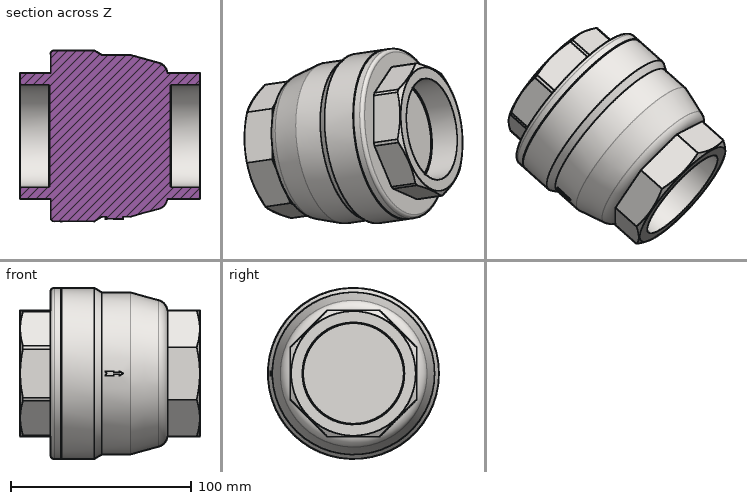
import cadquery as cq
import math

TOTAL_LENGTH = 100.0
COLLAR_START = 17.0
COLLAR_END = 41.3
BARREL_START = 45.5
BARREL_END = 61.3
BODY_END = 82.0

COLLAR_RADIUS = 95.0 / 2
BARREL_RADIUS = 90.0 / 2
COLLAR_FILLET = 2.0
TAPER_ANGLE = math.radians(15.5)
SHOULDER_FILLET = 7.0

SEAM_START = 22.8
SEAM_WIDTH = 0.35
SEAM_DEPTH = 0.15

SIDES = 8
ACROSS_FLATS = 70.0
ACROSS_CORNERS = ACROSS_FLATS / math.cos(math.pi / SIDES)
INLET_TURNED_RADIUS = 75.0 / 2
END_FACE_RADIUS = 34.5
END_CHAMFER_ANGLE = math.radians(30)
INLET_OVERLAP = 5.0

PORT_RADIUS = 56.66 / 2
PORT_DEPTH = 16.0
RECESS_LEDGE = 0.5
RECESS_DEPTH = 0.5
RECESS_RADIUS = PORT_RADIUS - RECESS_LEDGE

ARROW_START = 47.3
ARROW_LENGTH = 10.0
ARROW_NOTCH = 0.8
ARROW_TAIL_LENGTH = 4.7
ARROW_HEAD_LENGTH = 2.1
ARROW_HALF_WIDTH = 1.25
ARROW_SHAFT_HALF_WIDTH = 0.55
ARROW_HEIGHT = 1.0
ARROW_ROOT_DEPTH = 1.0


def revolve_about_x(profile):
    """Revolve a closed XY profile a full turn about the X axis."""
    return profile.close().revolve(360, (0, 0, 0), (1, 0, 0))


def make_body():
    """Collar, barrel and tapered shoulder as one revolved profile."""
    fillet_center_x = BODY_END - SHOULDER_FILLET
    taper_end_x = fillet_center_x + SHOULDER_FILLET * math.sin(TAPER_ANGLE)
    taper_end_radius = BARREL_RADIUS - (taper_end_x - BARREL_END) * math.tan(TAPER_ANGLE)
    fillet_center_radius = taper_end_radius - SHOULDER_FILLET * math.cos(TAPER_ANGLE)
    mid_angle = (math.pi / 2 - TAPER_ANGLE) / 2
    fillet_mid = (
        fillet_center_x + SHOULDER_FILLET * math.cos(mid_angle),
        fillet_center_radius + SHOULDER_FILLET * math.sin(mid_angle),
    )
    collar_sag = COLLAR_FILLET * (1 - math.cos(math.pi / 4))
    collar_mid = (COLLAR_START + collar_sag, COLLAR_RADIUS - collar_sag)
    profile = (
        cq.Workplane("XY")
        .moveTo(COLLAR_START, 0)
        .lineTo(COLLAR_START, COLLAR_RADIUS - COLLAR_FILLET)
        .threePointArc(collar_mid, (COLLAR_START + COLLAR_FILLET, COLLAR_RADIUS))
        .lineTo(COLLAR_END, COLLAR_RADIUS)
        .lineTo(BARREL_START, BARREL_RADIUS)
        .lineTo(BARREL_END, BARREL_RADIUS)
        .lineTo(taper_end_x, taper_end_radius)
        .threePointArc(fillet_mid, (BODY_END, fillet_center_radius))
        .lineTo(BODY_END, 0)
    )
    return revolve_about_x(profile)


def make_seam_ring():
    """Thin ring removed from the collar to leave the seam groove."""
    return (
        cq.Workplane("YZ", origin=(SEAM_START, 0, 0))
        .circle(COLLAR_RADIUS)
        .circle(COLLAR_RADIUS - SEAM_DEPTH)
        .extrude(SEAM_WIDTH)
    )


def make_octagon_end(length, turned_radius):
    """Octagon with flats facing Y and Z, outer face at X = 0, chamfered by turning."""
    octagon = (
        cq.Workplane("YZ")
        .polygon(SIDES, ACROSS_CORNERS)
        .extrude(length)
        .rotate((0, 0, 0), (1, 0, 0), 180 / SIDES)
    )
    chamfer_length = (turned_radius - END_FACE_RADIUS) * math.tan(END_CHAMFER_ANGLE)
    envelope = revolve_about_x(
        cq.Workplane("XY")
        .moveTo(0, 0)
        .lineTo(0, END_FACE_RADIUS)
        .lineTo(chamfer_length, turned_radius)
        .lineTo(length, turned_radius)
        .lineTo(length, 0)
    )
    return octagon.intersect(envelope)


def make_port():
    """Blind port with its floor recess, opening at X = 0."""
    bore = cq.Workplane("YZ").circle(PORT_RADIUS).extrude(PORT_DEPTH)
    recess = cq.Workplane("YZ").circle(RECESS_RADIUS).extrude(PORT_DEPTH + RECESS_DEPTH)
    return bore.union(recess)


def at_outlet(shape):
    """Turn a shape built at the inlet end round to the outlet end."""
    return shape.mirror("YZ").translate((TOTAL_LENGTH, 0, 0))


def make_arrow():
    """Flow arrow pointing to +X, with its top following the barrel."""
    tip_x = ARROW_START + ARROW_LENGTH
    tail_end_x = ARROW_START + ARROW_TAIL_LENGTH
    head_x = tip_x - ARROW_HEAD_LENGTH
    outline = (
        cq.Workplane("XZ")
        .moveTo(ARROW_START + ARROW_NOTCH, 0)
        .lineTo(ARROW_START, ARROW_HALF_WIDTH)
        .lineTo(tail_end_x, ARROW_HALF_WIDTH)
        .lineTo(tail_end_x, ARROW_SHAFT_HALF_WIDTH)
        .lineTo(head_x, ARROW_SHAFT_HALF_WIDTH)
        .lineTo(head_x, ARROW_HALF_WIDTH)
        .lineTo(tip_x, 0)
        .lineTo(head_x, -ARROW_HALF_WIDTH)
        .lineTo(head_x, -ARROW_SHAFT_HALF_WIDTH)
        .lineTo(tail_end_x, -ARROW_SHAFT_HALF_WIDTH)
        .lineTo(tail_end_x, -ARROW_HALF_WIDTH)
        .lineTo(ARROW_START, -ARROW_HALF_WIDTH)
        .close()
        .extrude(BARREL_RADIUS + 2 * ARROW_HEIGHT)
    )
    skin = (
        cq.Workplane("YZ", origin=(BARREL_START, 0, 0))
        .circle(BARREL_RADIUS + ARROW_HEIGHT)
        .circle(BARREL_RADIUS - ARROW_ROOT_DEPTH)
        .extrude(BARREL_END - BARREL_START)
    )
    return outline.intersect(skin)


inlet_end = make_octagon_end(COLLAR_START + INLET_OVERLAP, INLET_TURNED_RADIUS)
outlet_end = make_octagon_end(TOTAL_LENGTH - BODY_END, ACROSS_CORNERS / 2)

result = (
    make_body()
    .cut(make_seam_ring())
    .union(inlet_end)
    .union(at_outlet(outlet_end))
    .union(make_arrow())
    .cut(make_port())
    .cut(at_outlet(make_port()))
)